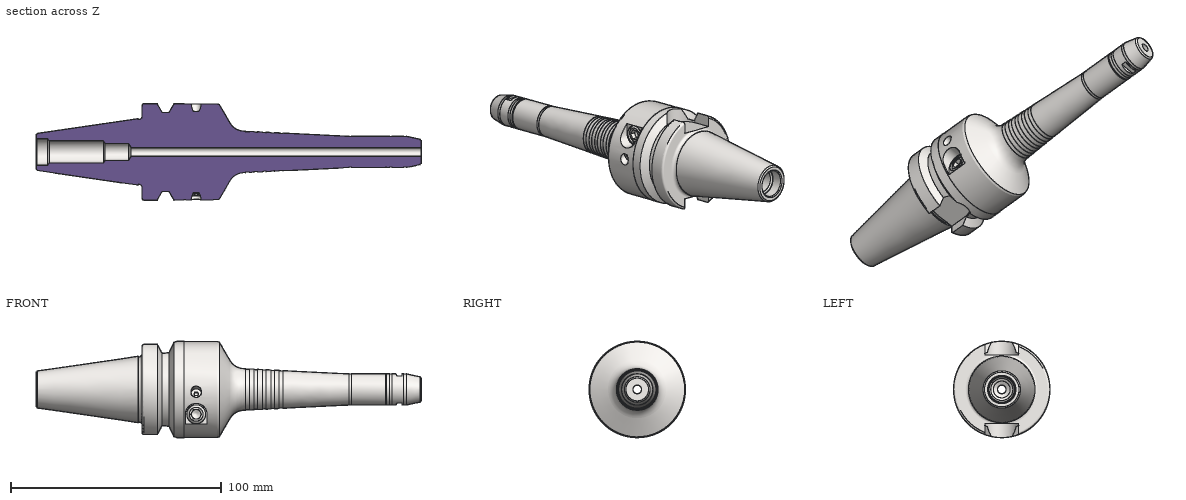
import cadquery as cq
import math


shank_length = 48.4
gauge_diameter = 31.75
gauge_radius = gauge_diameter / 2
taper_rate = 7 / 24
radius_rate = taper_rate / 2
shank_end_radius = gauge_radius - shank_length * radius_rate
shank_end_chamfer = 0.6
relief_radius = 15.5
relief_width = 0.4

flange_start = 2.0
flange_end = 22.0
flange_radius = 23.0
flange_fillet = 1.0
root_fillet = flange_start - relief_width
groove_center = 13.25
groove_floor_width = 3.3
groove_floor_radius = 19.0
groove_wall_angle = 30.0
groove_rise = (flange_radius - groove_floor_radius) * math.tan(math.radians(groove_wall_angle))
body_radius = 22.9
body_end = 38.9
body_edge_length = 1.1
body_edge_drop = 0.35

shoulder_angle = 60.0
neck_start = 50.2
neck_start_radius = 10.0
neck_end = 100.5

tip_end = 135.0
tip_radius = 7.5
nose_start = 127.9
nose_radius = 6.1
nose_chamfer = 0.7

neck_groove_start = 51.3
neck_groove_count = 5
neck_groove_pitch = 4.0
neck_groove_width = 1.8
neck_groove_depth = 0.2
ring_depth = 0.1
tip_rings = ((100.5, 1.2), (117.9, 0.5), (119.8, 1.3), (126.6, nose_start - 126.6))

slot_width = 16.1
slot_tip = 18.8
slot_floor = 16.3

mouth_diameter = 13.5
pilot_diameter = 12.5
pilot_depth = 5.5
thread_mouth_diameter = 12.0
thread_diameter = 10.5
thread_depth = 32.0
drill_diameter = 8.0
drill_depth = 44.0
through_diameter = 4.0
drill_tip_angle = 118.0

screw_x = 27.8
pocket_z = -11.8
pocket_width = 10.3
pocket_floor = 16.0
head_diameter = 9.0
head_face_diameter = 6.6
head_chamfer_depth = 1.2
head_hex = 4.5
head_hex_depth = 2.5
head_cone_depth = 1.2

set_screw_z = -1.0
set_screw_tilt = 20.0
set_screw_diameter = 5.0
set_screw_recess = 3.0
set_screw_hex = 2.0
set_screw_hex_depth = 1.5

flat_start = 122.8
flat_floor_start = 123.4
flat_end = 125.7
flat_height = 6.5

clearance = 5.0


def across_corners(across_flats):
    return across_flats / math.cos(math.radians(30))


def neck_radius(x):
    share = (x - neck_start) / (neck_end - neck_start)
    return neck_start_radius + share * (tip_radius - neck_start_radius)


def shoulder_fillet():
    """Start and middle points of the arc tangent to the shoulder cone and to the neck at neck_start."""
    cone_angle = math.radians(shoulder_angle)
    neck_angle = math.atan2(neck_start_radius - tip_radius, neck_end - neck_start)
    cone_slope = math.tan(cone_angle)
    neck_slope = math.tan(neck_angle)

    edge_radius = body_radius - body_edge_drop
    height_above_neck = edge_radius - neck_radius(body_end)
    corner_x = body_end + height_above_neck / (cone_slope - neck_slope)
    corner_radius = neck_radius(corner_x)

    tangent_length = (neck_start - corner_x) / math.cos(neck_angle)
    turn = cone_angle - neck_angle
    start = (
        corner_x - tangent_length * math.cos(cone_angle),
        corner_radius + tangent_length * math.sin(cone_angle),
    )
    fillet_radius = tangent_length / math.tan(turn / 2)
    corner_gap = fillet_radius * (1 / math.cos(turn / 2) - 1)
    bisector = (cone_angle + neck_angle) / 2
    middle = (
        corner_x + corner_gap * math.sin(bisector),
        corner_radius + corner_gap * math.cos(bisector),
    )
    return start, middle


def turned_body():
    face_to_groove = groove_center - groove_floor_width / 2
    groove_to_body = groove_center + groove_floor_width / 2
    fillet_start, fillet_middle = shoulder_fillet()
    return (
        cq.Workplane("XY")
        .moveTo(-shank_length, 0)
        .lineTo(-shank_length, shank_end_radius - shank_end_chamfer)
        .lineTo(-shank_length + shank_end_chamfer, shank_end_radius + shank_end_chamfer * radius_rate)
        .lineTo(0, gauge_radius)
        .lineTo(relief_width, relief_radius)
        .radiusArc((flange_start, relief_radius + root_fillet), -root_fillet)
        .lineTo(flange_start, flange_radius - flange_fillet)
        .tangentArcPoint((flange_start + flange_fillet, flange_radius), relative=False)
        .lineTo(face_to_groove - groove_rise, flange_radius)
        .lineTo(face_to_groove, groove_floor_radius)
        .lineTo(groove_to_body, groove_floor_radius)
        .lineTo(groove_to_body + groove_rise, flange_radius)
        .lineTo(flange_end, flange_radius)
        .lineTo(flange_end, body_radius)
        .lineTo(body_end - body_edge_length, body_radius)
        .lineTo(body_end, body_radius - body_edge_drop)
        .lineTo(*fillet_start)
        .threePointArc(fillet_middle, (neck_start, neck_start_radius))
        .lineTo(neck_end, tip_radius)
        .lineTo(nose_start, tip_radius)
        .lineTo(tip_end - nose_chamfer, nose_radius)
        .lineTo(tip_end, nose_radius - nose_chamfer)
        .lineTo(tip_end, 0)
        .close()
        .revolve(360, (0, 0, 0), (1, 0, 0))
    )


def ring_cutter(start, width, start_floor, end_floor):
    """Ring that removes everything outside a floor running from start_floor to end_floor."""
    end = start + width
    outside = neck_start_radius + clearance
    outline = [(start, start_floor), (end, end_floor), (end, outside), (start, outside)]
    return (
        cq.Workplane("XY")
        .polyline(outline)
        .close()
        .revolve(360, (0, 0, 0), (1, 0, 0))
    )


def cut_ring_grooves(body):
    for index in range(neck_groove_count):
        start = neck_groove_start + index * neck_groove_pitch
        start_floor = neck_radius(start) - neck_groove_depth
        end_floor = neck_radius(start + neck_groove_width) - neck_groove_depth
        body = body.cut(ring_cutter(start, neck_groove_width, start_floor, end_floor))
    for start, width in tip_rings:
        floor = tip_radius - ring_depth
        body = body.cut(ring_cutter(start, width, floor, floor))
    return body


def axial_bore():
    def drill_tip_length(large, small):
        return (large - small) / 2 / math.tan(math.radians(drill_tip_angle / 2))

    mouth = -shank_length
    pilot_end = mouth + pilot_depth
    thread_end = mouth + thread_depth
    drill_end = mouth + drill_depth
    outline = [
        (mouth, 0),
        (mouth, mouth_diameter / 2),
        (mouth + (mouth_diameter - pilot_diameter) / 2, pilot_diameter / 2),
        (pilot_end, pilot_diameter / 2),
        (pilot_end, thread_mouth_diameter / 2),
        (pilot_end + (thread_mouth_diameter - thread_diameter) / 2, thread_diameter / 2),
        (thread_end, thread_diameter / 2),
        (thread_end + drill_tip_length(thread_diameter, drill_diameter), drill_diameter / 2),
        (drill_end, drill_diameter / 2),
        (drill_end + drill_tip_length(drill_diameter, through_diameter), through_diameter / 2),
        (tip_end, through_diameter / 2),
        (tip_end, 0),
    ]
    return cq.Workplane("XY").polyline(outline).close().revolve(360, (0, 0, 0), (1, 0, 0))


def drive_slot():
    straight_start = flange_start - clearance
    arc_center = slot_tip - slot_width / 2
    length = arc_center - straight_start
    depth = flange_radius + clearance - slot_floor
    plane = cq.Workplane("XY", origin=(arc_center, 0, slot_floor))
    round_end = plane.circle(slot_width / 2).extrude(depth)
    return plane.center(-length / 2, 0).rect(length, slot_width).extrude(depth).union(round_end)


def screw_pocket():
    """Pocket on the -Y side with the chamfered, hexagon-socket screw head at its floor."""
    outward = cq.Workplane("XZ", origin=(screw_x, -pocket_floor, pocket_z))
    height = flange_radius + clearance - pocket_floor
    run_out = flange_radius
    pocket = outward.circle(pocket_width / 2).extrude(height)
    pocket = pocket.union(outward.center(0, -run_out / 2).rect(pocket_width, run_out).extrude(height))

    recess = outward.circle(head_diameter / 2).extrude(-head_chamfer_depth)
    head = cq.Workplane(
        cq.Solid.makeCone(
            head_diameter / 2,
            head_face_diameter / 2,
            head_chamfer_depth,
            cq.Vector(screw_x, head_chamfer_depth - pocket_floor, pocket_z),
            cq.Vector(0, -1, 0),
        )
    )
    socket = outward.polygon(6, across_corners(head_hex)).extrude(-head_hex_depth)
    socket_cone = cq.Workplane(
        cq.Solid.makeCone(
            head_hex / 2,
            0,
            head_cone_depth,
            cq.Vector(screw_x, head_hex_depth - pocket_floor, pocket_z),
            cq.Vector(0, 1, 0),
        )
    )
    return pocket.union(recess.cut(head)).union(socket).union(socket_cone)


def set_screw_hole():
    """Tilted hole on the -Y side with a small hexagon socket at its floor."""
    tilt = math.radians(set_screw_tilt)
    outward = (0, -math.cos(tilt), math.sin(tilt))
    plane = cq.Plane(origin=(screw_x, -flange_radius, set_screw_z), xDir=(1, 0, 0), normal=outward)
    floor = cq.Workplane(plane).workplane(offset=-set_screw_recess)
    hole = floor.circle(set_screw_diameter / 2).extrude(set_screw_recess + clearance)
    socket = floor.polygon(6, across_corners(set_screw_hex)).extrude(-set_screw_hex_depth)
    return hole.union(socket)


def tip_flat():
    outline = [
        (flat_start, tip_radius),
        (flat_floor_start, flat_height),
        (flat_end, flat_height),
        (flat_end, tip_radius),
    ]
    return cq.Workplane("XZ").polyline(outline).close().extrude(tip_radius, both=True)


def cut_opposed_pair(body, cutter):
    """Cut a feature and its copy turned half way round the axis."""
    return body.cut(cutter).cut(cutter.rotate((0, 0, 0), (1, 0, 0), 180))


result = cut_ring_grooves(turned_body())
result = result.cut(axial_bore())
for feature in (drive_slot(), screw_pocket(), set_screw_hole(), tip_flat()):
    result = cut_opposed_pair(result, feature)